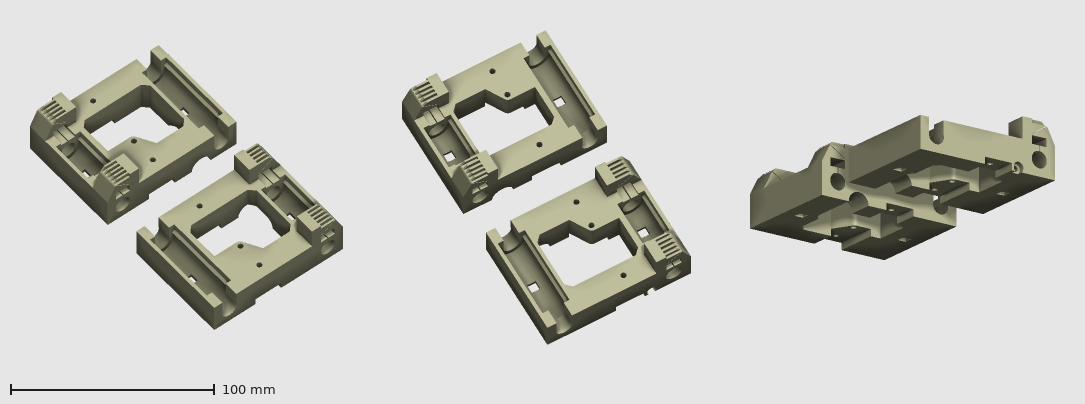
import cadquery as cq
import math

total_length = 145.0
holder_width = 61.2
holder_depth = 81.0
deck_height = 17.7
tower_height = 29.5
cut_margin = 1.5

bore_diameter = 9.0
bore_inset = 9.5
bore_height = 8.8
channel_width = 8.7

tower_width = 12.0
tower_depth = 19.6
slope_depth = 4.5
slope_top = 26.5
chamfer_depth = 7.2

groove_count = 5
ridge_width = 1.0
groove_pitch = 2.5
groove_floor = 27.3
groove_end = bore_inset + channel_width / 2

slot_floor = 16.2
slot_height = 4.5
slit_width = 0.6
tower_slit_drop = 5.5
tower_slit_height = 0.22

clamp_pocket_length = 25.2
open_pocket_length = 44.7
pocket_width = 15.2
pocket_ledge = 13.8
pocket_throat = 12.5
trough_radius = 7.2
drain_size = 4.8

window_left = 13.9
window_right = 47.1
window_neck = 36.1
window_front = 20.2
window_back = 61.9
window_chamfer = 3.2
window_shoulder = 35.7
window_shoulder_angle = 30.0

screw_diameter = 3.0
screw_xs = (7.1, 39.2, holder_width - 7.1)
screw_y = 34.1
screw_wall = 3.0

notch_start = 26.0
notch_width = 16.2
notch_height = 3.8
arch_radius = 6.0
arch_y = 58.9

socket_y = 22.0
socket_height = 2.3
socket_diameter = 5.8
socket_depth = 2.9
pin_hole_diameter = 2.9


def box(x0, x1, y0, y1, z0, z1):
    """Block between two opposite corners."""
    return cq.Workplane("XY").box(x1 - x0, y1 - y0, z1 - z0, centered=False).translate((x0, y0, z0))


def rod(diameter, x0, x1, y, z):
    """Cylinder along X."""
    return cq.Workplane("YZ", origin=(x0, y, z)).circle(diameter / 2).extrude(x1 - x0)


def x_prism(points, x0, x1):
    """Prism along X with a closed outline of (y, z) points."""
    return cq.Workplane("YZ", origin=(x0, 0, 0)).polyline(points).close().extrude(x1 - x0)


def to_back(shape):
    """Mirror a feature of the front end (y = 0) to the back end."""
    return shape.mirror("XZ", (0, holder_depth / 2, 0))


def rod_bore():
    return rod(bore_diameter, -cut_margin, holder_width + cut_margin, bore_inset, bore_height)


def roller_pocket(length):
    """Trough with slanted ledges and upright walls, plus a square drain through the floor."""
    x0 = (holder_width - length) / 2
    x1 = x0 + length
    half_mouth = pocket_width / 2
    half_throat = pocket_throat / 2
    throat_height = bore_height + math.sqrt(trough_radius**2 - half_throat**2)
    mouth = x_prism(
        [
            (bore_inset - half_throat, bore_height),
            (bore_inset - half_throat, throat_height),
            (bore_inset - half_mouth, pocket_ledge),
            (bore_inset - half_mouth, deck_height + cut_margin),
            (bore_inset + half_mouth, deck_height + cut_margin),
            (bore_inset + half_mouth, pocket_ledge),
            (bore_inset + half_throat, throat_height),
            (bore_inset + half_throat, bore_height),
        ],
        x0,
        x1,
    )
    trough = rod(2 * trough_radius, x0, x1, bore_inset, bore_height)
    drain = cq.Workplane("XY", origin=(holder_width / 2, bore_inset, -cut_margin))
    drain = drain.rect(drain_size, drain_size).extrude(bore_height + cut_margin)
    return mouth.union(trough).union(drain)


def tower():
    """Clamping tower at the left front corner, grooved from its outer side inward."""
    body = x_prism(
        [
            (0, deck_height),
            (slope_depth, slope_top),
            (chamfer_depth, tower_height),
            (tower_depth, tower_height),
            (tower_depth, 0),
            (0, 0),
        ],
        0,
        tower_width,
    )
    for i in range(groove_count):
        inner_side = tower_width - ridge_width - i * groove_pitch
        outer_side = max(inner_side - (groove_pitch - ridge_width), 0)
        body = body.cut(
            box(outer_side, inner_side, 0, groove_end, groove_floor, tower_height + cut_margin)
        )
    return body.cut(tower_slit())


def tower_slit():
    """Thin slanted slit from the upper chamfer down into the tower."""
    chamfer_slope = (tower_height - slope_top) / (chamfer_depth - slope_depth)
    mouth_y = slope_depth + (groove_floor - slope_top) / chamfer_slope
    end_top = groove_floor - tower_slit_drop
    return x_prism(
        [
            (mouth_y, groove_floor),
            (groove_end, end_top),
            (groove_end, end_top - tower_slit_height),
            (mouth_y - tower_slit_height / chamfer_slope, groove_floor - tower_slit_height),
        ],
        0,
        tower_width,
    )


def clamp_cuts():
    """Flat slot above the bore and the slit that joins the two."""
    x0 = -cut_margin
    x1 = holder_width + cut_margin
    half_width = channel_width / 2
    slot = box(
        x0,
        x1,
        bore_inset - half_width,
        bore_inset + half_width,
        slot_floor,
        slot_floor + slot_height,
    )
    slit = box(
        x0, x1, bore_inset - slit_width / 2, bore_inset + slit_width / 2, bore_height, slot_floor
    )
    return slot.union(slit)


def open_channel():
    """Upright channel that opens the bore to the deck."""
    half_width = channel_width / 2
    return box(
        -cut_margin,
        holder_width + cut_margin,
        bore_inset - half_width,
        bore_inset + half_width,
        bore_height,
        deck_height + cut_margin,
    )


def window():
    shoulder_rise = (window_right - window_neck) * math.tan(math.radians(window_shoulder_angle))
    outline = [
        (window_left + window_chamfer, window_front),
        (window_neck, window_front),
        (window_neck, window_shoulder),
        (window_right, window_shoulder + shoulder_rise),
        (window_right, window_back - window_chamfer),
        (window_right - window_chamfer, window_back),
        (window_left + window_chamfer, window_back),
        (window_left, window_back - window_chamfer),
        (window_left, window_front + window_chamfer),
    ]
    opening = cq.Workplane("XY").polyline(outline).close().extrude(deck_height)
    shoulder_corner = cq.selectors.NearestToPointSelector(
        (window_neck, window_shoulder, deck_height / 2)
    )
    return opening.edges(shoulder_corner).fillet(screw_wall)


def screw_holes():
    points = [(x, screw_y) for x in screw_xs]
    return cq.Workplane("XY").pushPoints(points).circle(screw_diameter / 2).extrude(deck_height)


def underside_notch():
    return box(
        -cut_margin,
        holder_width + cut_margin,
        notch_start,
        notch_start + notch_width,
        -cut_margin,
        notch_height,
    )


def cable_arch():
    """Half-round channel in the underside, from the right face to a ball end at mid-width."""
    ball_x = holder_width / 2 + arch_radius
    channel = rod(2 * arch_radius, ball_x, holder_width + cut_margin, arch_y, 0)
    ball = cq.Workplane("XY").sphere(arch_radius).translate((ball_x, arch_y, 0))
    return channel.union(ball)


def side_socket():
    """Counterbored hole from the left face into the window."""
    socket = rod(socket_diameter, 0, socket_depth, socket_y, socket_height)
    pin_hole = rod(pin_hole_diameter, 0, window_left + window_chamfer, socket_y, socket_height)
    return socket.union(pin_hole)


def holder(clamp_at_front):
    """Holder with clamping towers at one Y end and open channels at the other."""
    clamp_end = (lambda shape: shape) if clamp_at_front else to_back
    open_end = to_back if clamp_at_front else (lambda shape: shape)
    left_tower = tower()
    right_tower = left_tower.mirror("YZ", (holder_width / 2, 0, 0))
    body = box(0, holder_width, 0, holder_depth, 0, deck_height)
    body = body.union(clamp_end(left_tower)).union(clamp_end(right_tower))
    body = body.cut(clamp_end(rod_bore())).cut(open_end(rod_bore()))
    body = body.cut(clamp_end(clamp_cuts())).cut(open_end(open_channel()))
    body = body.cut(clamp_end(roller_pocket(clamp_pocket_length)))
    body = body.cut(open_end(roller_pocket(open_pocket_length)))
    return body.cut(window()).cut(screw_holes()).cut(underside_notch())


left_holder = holder(clamp_at_front=True)
left_holder = left_holder.cut(cable_arch()).cut(side_socket())

right_holder = holder(clamp_at_front=False)
right_holder = right_holder.cut(cable_arch().mirror("YZ", (holder_width / 2, 0, 0)))
right_holder = right_holder.translate((total_length - holder_width, 0, 0))

result = cq.Compound.makeCompound([left_holder.val(), right_holder.val()])